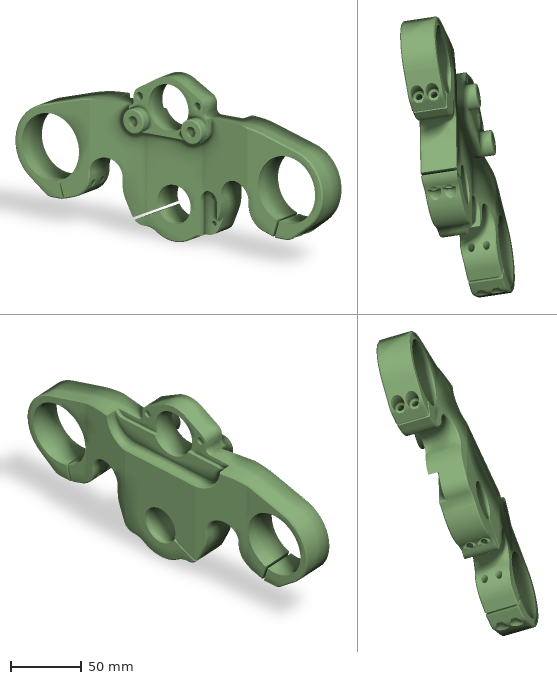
import cadquery as cq
import math


half_width = 133.7
top_z = 41.5
plate_thickness = 25.1
bend_offset = 7.0
front_bend_inner = 25.1
front_bend_outer = 68.7
back_bend_inner = 33.7
back_bend_outer = back_bend_inner + front_bend_outer - front_bend_inner
edge_chamfer = 0.94
overrun = 53.5
middle_back_y = plate_thickness + bend_offset

fork_outer_radius = 31.0
fork_bore_radius = 25.0
fork_x = half_width - fork_outer_radius
fork_top_slope = 16.0
fork_top_blend = 75.0
fork_bottom_slope = 37.5
fork_bottom_blend = 10.7
fork_bottom_z = -37.2
fork_inner_blend = 18.7
fork_inner_blend_z = -16.0
fork_slit_tilt = 17.0

arch_x = 56.0
arch_radius = 13.0
arch_top_z = -1.0

stem_z = -28.0
stem_bore_radius = 14.5
stem_outer_radius = 27.8
stem_slit_tilt = 24.4
stem_side_turn_z = -25.1
stem_side_blend = 25.1
stem_foot_z = -47.9
stem_foot_blend = 10.7
stem_neck_slope = 33.0
stem_neck_blend = 16.0

slit_width = 2.0
bolt_spacing = 11.0
bolt_hole_radius = 2.55
bolt_head_radius = 4.8
bolt_seat_depth = 9.4
fork_bolt_reach = 31.5
stem_bolt_reach = 27.5
fork_thread_depth = 31.0
stem_thread_depth = 16.0

bracket_thickness = 17.5
gauge_z = 45.0
gauge_bore_radius = 17.5
bracket_top_z = 67.5
bracket_crown_radius = 22.5
bracket_top_slope = 30.0
bracket_neck_half_width = 30.2
bracket_neck_blend = 4.0
bracket_ear_blend = 6.7
pin_hole_x = 25.1
pin_hole_z = 49.7
pin_hole_radius = 3.0

screw_x = 25.1
screw_z = 32.5
screw_head_radius = 9.0
screw_boss_radius = 9.4
screw_head_height = 8.3
screw_head_round = 1.0
socket_radius = 4.0
socket_depth = 4.0
bracket_half_width = screw_x + screw_boss_radius
bracket_bottom_z = screw_z - screw_boss_radius

relief_half_width = 53.2
relief_radius = relief_half_width - back_bend_inner
relief_bottom_z = 22.5
relief_front_y = 20.5
step_bottom_z = 37.5
step_half_width = 54.5
step_radius = 9.0

recess_x = 31.0
recess_radius = 8.0
recess_top_z = -13.5
recess_floor_y = 12.5
recess_hole_zs = (-20.0, -38.8)
recess_hole_radius = 2.1
recess_hole_depth = 8.0

drill_half_angle = 59.0
coincidence = 0.0003


def tan(degrees):
    return math.tan(math.radians(degrees))


def sin(degrees):
    return math.sin(math.radians(degrees))


def cos(degrees):
    return math.cos(math.radians(degrees))


def mirrored(corners):
    """Complete a left-hand chain of (x, z, radius) corners with its mirror image."""
    return corners + [(-x, z, r) for x, z, r in reversed(corners) if x != 0]


def rounded_prism(corners, front_y, back_y):
    """Prism along Y over a polygon of (x, z, radius) corners; radius 0 stays sharp."""
    arcs = []
    for i, (x, z, radius) in enumerate(corners):
        corner = cq.Vector(x, z)
        before = cq.Vector(*corners[i - 1][:2]) - corner
        after = cq.Vector(*corners[(i + 1) % len(corners)][:2]) - corner
        before, after = before.normalized(), after.normalized()
        half_angle = before.getAngle(after) / 2
        setback = radius / math.tan(half_angle)
        middle = (before + after).normalized() * (radius / math.sin(half_angle) - radius)
        arcs.append((corner + before * setback, corner + middle, corner + after * setback, radius))
    start = arcs[0][2]
    wire = cq.Workplane("XZ", origin=(0, front_y, 0)).moveTo(start.x, start.y)
    position = start
    for first, middle, last, radius in arcs[1:] + arcs[:1]:
        if (first - position).Length > coincidence:
            wire = wire.lineTo(first.x, first.y)
        if radius > 0:
            wire = wire.threePointArc((middle.x, middle.y), (last.x, last.y))
        position = last
    return wire.close().extrude(front_y - back_y)


def cylinder(start, direction, radius, length):
    return cq.Workplane(cq.Solid.makeCylinder(radius, length, cq.Vector(*start), cq.Vector(*direction)))


def through_y(x, z, radius):
    """Cutter along Y through the whole depth of the part."""
    return cylinder((x, -overrun, z), (0, 1, 0), radius, 2 * overrun)


def drilled(x, y, z, radius, depth):
    """Blind hole into +Y with a conical drill end."""
    tip_y = y + depth + radius / tan(drill_half_angle)
    profile = cq.Workplane("XY").polyline([(x, y), (x + radius, y), (x + radius, y + depth), (x, tip_y)])
    return profile.close().revolve(360, (x, 0, 0), (x, 1, 0)).translate((0, 0, z))


def plate_outline():
    """Left half of the outline, from the top edge around the fork clamp to the stem clamp."""
    fork_top_x = -fork_x - fork_outer_radius * sin(fork_top_slope) + (
        top_z - fork_outer_radius * cos(fork_top_slope)) / tan(fork_top_slope)
    flank_bend = (fork_top_slope + fork_bottom_slope) / 2
    flank_axis = (fork_bottom_slope - fork_top_slope) / 2
    flank_reach = fork_outer_radius / sin(flank_bend)
    flank_x = -fork_x - flank_reach * cos(flank_axis)
    flank_z = flank_reach * sin(flank_axis)
    fork_corner_x = flank_x + (flank_z - fork_bottom_z) / tan(fork_bottom_slope)

    arch_outer_x = -arch_x - arch_radius
    arch_inner_x = -arch_x + arch_radius
    blend_x = arch_outer_x - fork_inner_blend
    tangent_x = blend_x + fork_inner_blend * sin(fork_slit_tilt)
    tangent_z = fork_inner_blend_z - fork_inner_blend * cos(fork_slit_tilt)
    kink_x = tangent_x - (tangent_z - fork_bottom_z) / tan(fork_slit_tilt)
    fork_inner_z = tangent_z + (arch_outer_x - tangent_x) * tan(fork_slit_tilt)

    foot_x = arch_inner_x + (stem_side_turn_z - stem_foot_z) * tan(stem_slit_tilt)
    stem_apex_z = stem_z - stem_outer_radius / cos(stem_neck_slope)
    neck_x = -(stem_foot_z - stem_apex_z) / tan(stem_neck_slope)
    return [
        (fork_top_x, top_z, fork_top_blend),
        (flank_x, flank_z, fork_outer_radius),
        (fork_corner_x, fork_bottom_z, fork_bottom_blend),
        (kink_x, fork_bottom_z, 0),
        (arch_outer_x, fork_inner_z, fork_inner_blend),
        (arch_outer_x, arch_top_z, arch_radius),
        (arch_inner_x, arch_top_z, arch_radius),
        (arch_inner_x, stem_side_turn_z, stem_side_blend),
        (foot_x, stem_foot_z, stem_foot_blend),
        (neck_x, stem_foot_z, stem_neck_blend),
        (0, stem_apex_z, stem_outer_radius),
    ]


def bent_slab():
    """Slab bent backwards in the middle, taller and exactly as wide as the plate."""
    front = [(-half_width, 0), (-front_bend_outer, 0), (-front_bend_inner, bend_offset)]
    back = [
        (-half_width, plate_thickness),
        (-back_bend_outer, plate_thickness),
        (-back_bend_inner, middle_back_y),
    ]
    left = list(reversed(back)) + front
    right = [(-x, y) for x, y in reversed(left)]
    return cq.Workplane("XY").polyline(left + right).close().extrude(2 * half_width, both=True)


def back_relief():
    """Pocket behind the bracket, open upwards, with a shallow step in front of it."""
    pocket_corners = [
        (-relief_half_width, bracket_top_z, 0),
        (-relief_half_width, relief_bottom_z, relief_radius),
    ]
    pocket = rounded_prism(mirrored(pocket_corners), relief_front_y, middle_back_y)
    step_corners = [
        (-step_half_width, bracket_top_z, 0),
        (-step_half_width, step_bottom_z, step_radius),
    ]
    step = rounded_prism(mirrored(step_corners), bracket_thickness, relief_front_y)
    return pocket.union(step)


def chamfer_rim(body, faces):
    """Chamfer the outline of the given flat faces, leaving the bends at their ends sharp."""
    bends = (front_bend_inner, front_bend_outer, back_bend_inner, back_bend_outer)
    rim = [
        edge
        for edge in faces.edges().vals()
        if not any(math.isclose(abs(edge.Center().x), bend, abs_tol=coincidence) for bend in bends)
    ]
    return body.newObject(rim).chamfer(edge_chamfer)


def section(body, left_x, right_x):
    """The part of the plate between two cuts square to X."""
    block = cq.Workplane("XY").box(right_x - left_x, 2 * overrun, 2 * half_width)
    return body.intersect(block.translate(((left_x + right_x) / 2, 0, 0)))


def clamp_plate():
    """Bent plate; the front is chamfered on its flat faces only, the back everywhere."""
    plain = rounded_prism(mirrored(plate_outline()), 0, middle_back_y).intersect(bent_slab())
    plain = plain.cut(back_relief())
    plain = chamfer_rim(plain, plain.faces("<Y"))
    middle_front = cq.selectors.NearestToPointSelector((0, bend_offset, 0))
    plain = chamfer_rim(plain, plain.faces(middle_front))

    end_x = half_width + edge_chamfer
    cuts = [-end_x, -back_bend_outer, -back_bend_inner, back_bend_inner, back_bend_outer, end_x]
    plate = cq.Workplane("XY")
    for left_x, right_x in zip(cuts, cuts[1:]):
        piece = section(plain, left_x, right_x)
        plate = plate.union(chamfer_rim(piece, piece.faces(">Y")))
    return plate


def bracket():
    """Flat bracket with a round crown, two ears and rounded screw bosses at its foot."""
    crown_reach = bracket_crown_radius / cos(bracket_top_slope)
    crown_z = bracket_top_z - bracket_crown_radius + crown_reach
    ear_z = crown_z - bracket_neck_half_width * tan(bracket_top_slope)
    corners = [
        (-bracket_half_width, bracket_bottom_z, screw_boss_radius),
        (-bracket_half_width, top_z, 0),
        (-bracket_neck_half_width, top_z, bracket_neck_blend),
        (-bracket_neck_half_width, ear_z, bracket_ear_blend),
        (0, crown_z, bracket_crown_radius),
    ]
    return rounded_prism(mirrored(corners), 0, bracket_thickness)


def screw_head(x):
    """Round head on the front of the bracket, with a drilled socket."""
    head = cylinder((x, 0, screw_z), (0, -1, 0), screw_head_radius, screw_head_height)
    head = head.faces("<Y").edges().fillet(screw_head_round)
    return head.cut(drilled(x, -screw_head_height, screw_z, socket_radius, socket_depth))


body = clamp_plate().union(bracket())
body = body.cut(through_y(0, gauge_z, gauge_bore_radius))
for side in (-1, 1):
    body = body.cut(through_y(side * pin_hole_x, pin_hole_z, pin_hole_radius))
    body = body.union(screw_head(side * screw_x))


recess_bottom_z = stem_foot_z - stem_outer_radius
recess = rounded_prism(
    [
        (recess_x - recess_radius, recess_bottom_z, 0),
        (recess_x - recess_radius, recess_top_z, recess_radius),
        (recess_x + recess_radius, recess_top_z, recess_radius),
        (recess_x + recess_radius, recess_bottom_z, 0),
    ],
    0,
    recess_floor_y,
)
body = body.cut(recess)
for hole_z in recess_hole_zs:
    body = body.cut(drilled(recess_x, recess_floor_y, hole_z, recess_hole_radius, recess_hole_depth))


def slit(x, z, along):
    """Slit from a bore centre outwards in the direction `along` (x, z)."""
    angle = math.degrees(math.atan2(along[1], along[0]))
    blade = cq.Workplane("XY").box(overrun, 2 * overrun, slit_width, centered=(False, True, True))
    return blade.rotate((0, 0, 0), (0, 1, 0), -angle).translate((x, 0, z))


def pinch_bolts(x, z, along, across, reach, middle_y, thread_depth):
    """Two bolt holes square to a slit, with head seats on the `across` side."""
    holes = cq.Workplane("XY")
    for y in (middle_y - bolt_spacing / 2, middle_y + bolt_spacing / 2):
        def point(distance):
            return (x + along[0] * reach + across[0] * distance, y,
                    z + along[1] * reach + across[1] * distance)

        outward = (across[0], 0, across[1])
        thread = cylinder(point(-thread_depth), outward, bolt_hole_radius, thread_depth + bolt_seat_depth)
        seat = cylinder(point(bolt_seat_depth), outward, bolt_head_radius, overrun)
        holes = holes.add(thread).add(seat)
    return holes.combine()


for side in (-1, 1):
    along = (-side * sin(fork_slit_tilt), -cos(fork_slit_tilt))
    across = (side * cos(fork_slit_tilt), -sin(fork_slit_tilt))
    centre_x = side * fork_x
    body = body.cut(through_y(centre_x, 0, fork_bore_radius))
    body = body.cut(slit(centre_x, 0, along))
    body = body.cut(pinch_bolts(
        centre_x, 0, along, across, fork_bolt_reach, plate_thickness / 2, fork_thread_depth))

along = (-cos(stem_slit_tilt), -sin(stem_slit_tilt))
across = (sin(stem_slit_tilt), -cos(stem_slit_tilt))
body = body.cut(through_y(0, stem_z, stem_bore_radius))
body = body.cut(slit(0, stem_z, along))
body = body.cut(pinch_bolts(
    0, stem_z, along, across, stem_bolt_reach, bend_offset + plate_thickness / 2, stem_thread_depth))

result = body